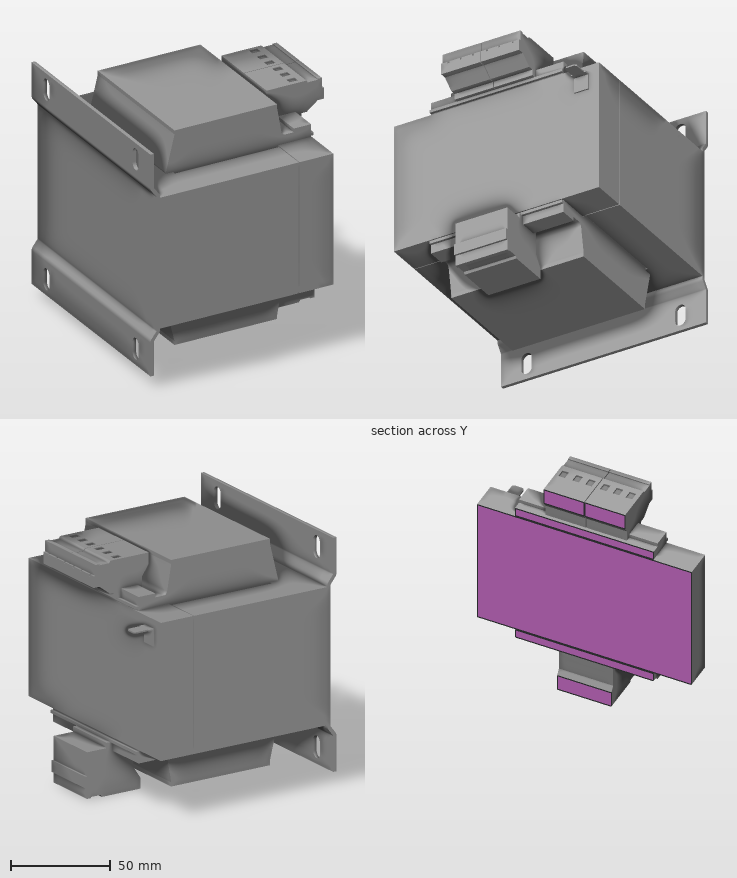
import cadquery as cq
import math

CORE_WIDTH = 120.0
CORE_LENGTH = 100.0
CORE_HEIGHT = 73.2
CORE_FRONT = 5.5
LEG_WIDTH = CORE_WIDTH / 6
CORE_BACK = CORE_FRONT + CORE_LENGTH
YOKE_JOINT = CORE_BACK - LEG_WIDTH
WINDOW_LENGTH = CORE_LENGTH - 2 * LEG_WIDTH
JOINT_GROOVE_WIDTH = 0.5
JOINT_GROOVE_DEPTH = 0.3

PLATE_THICKNESS = 2.0
PLATE_HALF_HEIGHT = 62.0
FLANGE_BEND_Z = 42.1
WEB_BEND_Z = 37.6
INNER_BEND_RADIUS = 1.0
OUTER_BEND_RADIUS = INNER_BEND_RADIUS + PLATE_THICKNESS
SLOT_X = 45.0
SLOT_Z = 53.0
SLOT_WIDTH = 6.0
SLOT_LENGTH = 12.0

COIL_WIDTH = 77.5
COIL_TOP = 60.0
COIL_TOP_FRONT = 26.0
COIL_TOP_BACK = 85.2
COIL_RIM = 2.2
COIL_FOOT_Z = 37.6
COIL_FOOT_FRONT = 21.0
COIL_NECK_BACK = 88.0
NECK_RADIUS = 2.2
COVER_GAP = 0.4
LEDGE_Z = 42.0
RAIL_TOP = 44.1
RAIL_FRONT = 94.8
RAIL_BACK = 104.8
LIP_BACK = 106.3
LIP_BOTTOM = 37.6
LIP_TOP = 39.2

POLE_WIDTH = 7.6
POLE_PITCH = 7.2
BLOCK_GAP = 0.4
TERMINAL_BACK = 121.25
TERMINAL_HEEL = 120.1
TERMINAL_FRONT = 88.2
HEEL_DROP = 6.4
HEEL_HEIGHT = 6.2
CAP_RIDGE_FRONT = 117.8
CAP_RIDGE_DROP = 0.6
CAP_DIP_FRONT = 112.0
CAP_DIP_DROP = 1.2
CAP_CREST_BACK = 111.2
CAP_FACE_HEIGHT = 6.0
CAP_UNDERCUT_DROP = 12.0
TERMINAL_STEM_FRONT = 92.2
TERMINAL_FOOT_BACK = 108.4
THROAT_Z = 42.5
THROAT_BACK = 111.4
THROAT_SLOPE_END = 117.7
UPPER_TERMINAL_TOP = 60.0
LOWER_TERMINAL_DEPTH = 67.3
ENTRY_WIDTH = 3.6
ENTRY_LENGTH = 4.7
ENTRY_Y = 105.3
ENTRY_DEPTH = 1.0
HEEL_SLOT_WIDTH = 1.0
HEEL_SLOT_DEPTH = 1.0

TAB_X = -50.0
TAB_THICKNESS = 0.8
TAB_WIDTH = 6.7
TAB_END = 117.0
TAB_SHOULDER_WIDTH = 8.4
TAB_SHOULDER_END = 109.0
TAB_TOP = 31.8
TAB_FOOT_BOTTOM = 22.6
TAB_CHAMFER = 1.0


def extrude_along_x(points, x_start, x_end):
    """Prism from a closed (Y, Z) outline, spanning x_start to x_end."""
    return cq.Workplane("YZ").workplane(offset=x_start).polyline(points).close().extrude(x_end - x_start)


def box_between(x_range, y_range, z_range):
    """Axis-aligned box given by its limits."""
    size = [limits[1] - limits[0] for limits in (x_range, y_range, z_range)]
    corner = (x_range[0], y_range[0], z_range[0])
    return cq.Workplane("XY").box(*size, centered=False).translate(corner)


def make_core():
    """E and I laminations with two windows and a groove round the joint."""
    half_width = CORE_WIDTH / 2
    half_height = CORE_HEIGHT / 2
    z_range = (-half_height, half_height)
    core = box_between((-half_width, half_width), (CORE_FRONT, CORE_BACK), z_range)
    window_y = (YOKE_JOINT - WINDOW_LENGTH, YOKE_JOINT)
    core = core.cut(box_between((-2 * LEG_WIDTH, -LEG_WIDTH), window_y, z_range))
    core = core.cut(box_between((LEG_WIDTH, 2 * LEG_WIDTH), window_y, z_range))
    groove_y = YOKE_JOINT + JOINT_GROOVE_WIDTH / 2
    ring = cq.Workplane("XY").box(CORE_WIDTH, JOINT_GROOVE_WIDTH, CORE_HEIGHT)
    inside = cq.Workplane("XY").box(
        CORE_WIDTH - 2 * JOINT_GROOVE_DEPTH, JOINT_GROOVE_WIDTH, CORE_HEIGHT - 2 * JOINT_GROOVE_DEPTH
    )
    return core.cut(ring.cut(inside).translate((0, groove_y, 0)))


def make_plate():
    """Sheet whose web lies on the core and whose flanges step forward to the mounting plane."""
    web_front = CORE_FRONT - PLATE_THICKNESS
    bend_angle = math.atan2(web_front, FLANGE_BEND_Z - WEB_BEND_Z)
    bend_shift = PLATE_THICKNESS * math.tan(bend_angle / 2)
    web_outer = (CORE_FRONT, WEB_BEND_Z + bend_shift)
    web_inner = (web_front, WEB_BEND_Z)
    flange_inner = (PLATE_THICKNESS, FLANGE_BEND_Z + bend_shift)
    flange_outer = (0, FLANGE_BEND_Z)
    flange_end = [(PLATE_THICKNESS, PLATE_HALF_HEIGHT), (0, PLATE_HALF_HEIGHT)]
    upper = [web_outer, flange_inner] + flange_end + [flange_outer, web_inner]
    lower = [(y, -z) for y, z in reversed(upper)]
    half_width = CORE_WIDTH / 2
    plate = extrude_along_x(upper + lower, -half_width, half_width)
    bends = [
        (web_outer, OUTER_BEND_RADIUS),
        (web_inner, INNER_BEND_RADIUS),
        (flange_outer, OUTER_BEND_RADIUS),
        (flange_inner, INNER_BEND_RADIUS),
    ]
    for (y, z), radius in bends:
        for side in (1, -1):
            corner = cq.selectors.NearestToPointSelector((0, y, side * z))
            plate = plate.edges("|X").edges(corner).fillet(radius)
    slots = (
        cq.Workplane("XZ")
        .pushPoints([(x, z) for x in (-SLOT_X, SLOT_X) for z in (-SLOT_Z, SLOT_Z)])
        .slot2D(SLOT_LENGTH, SLOT_WIDTH, 90)
        .extrude(-PLATE_THICKNESS)
    )
    return plate.cut(slots)


def make_coil():
    """Coil through the windows, with equal covers and terminal rails above and below the core."""
    half_width = COIL_WIDTH / 2
    cover_outline = [
        (COIL_FOOT_FRONT, 0),
        (COIL_FOOT_FRONT, COIL_FOOT_Z),
        (COIL_TOP_FRONT, COIL_TOP - COIL_RIM),
        (COIL_TOP_FRONT, COIL_TOP),
        (COIL_TOP_BACK, COIL_TOP),
        (COIL_TOP_BACK, COIL_TOP - COIL_RIM),
        (COIL_NECK_BACK, LEDGE_Z),
        (RAIL_FRONT, LEDGE_Z),
        (RAIL_FRONT, RAIL_TOP),
        (RAIL_BACK, RAIL_TOP),
        (RAIL_BACK, LIP_TOP),
        (LIP_BACK, LIP_TOP),
        (LIP_BACK, LIP_BOTTOM),
        (RAIL_BACK, LIP_BOTTOM),
        (RAIL_BACK, 0),
    ]
    cover = extrude_along_x(cover_outline, -half_width, half_width)
    neck = cq.selectors.NearestToPointSelector((0, COIL_NECK_BACK, LEDGE_Z))
    cover = cover.edges("|X").edges(neck).fillet(NECK_RADIUS)
    half_core = CORE_HEIGHT / 2
    cover = cover.cut(box_between((-half_width, half_width), (0, CORE_BACK), (0, half_core + COVER_GAP)))
    winding_z = half_core + COVER_GAP
    winding = box_between(
        (-half_width, half_width), (YOKE_JOINT - WINDOW_LENGTH, YOKE_JOINT), (-winding_z, winding_z)
    )
    return winding.union(cover).union(cover.mirror("XY"))


def terminal_cap(top):
    """Outer part of a terminal outline, from the heel over the cap to the stem."""
    heel_top = top - HEEL_DROP
    return [
        (TERMINAL_BACK, heel_top - HEEL_HEIGHT),
        (TERMINAL_BACK, heel_top),
        (TERMINAL_HEEL, heel_top),
        (TERMINAL_HEEL, top - CAP_RIDGE_DROP),
        (CAP_RIDGE_FRONT, top - CAP_RIDGE_DROP),
        (CAP_RIDGE_FRONT, top - CAP_DIP_DROP),
        (CAP_DIP_FRONT, top - CAP_DIP_DROP),
        (CAP_CREST_BACK, top),
        (TERMINAL_FRONT, top),
        (TERMINAL_FRONT, top - CAP_FACE_HEIGHT),
        (TERMINAL_STEM_FRONT, top - CAP_UNDERCUT_DROP),
        (TERMINAL_STEM_FRONT, LEDGE_Z),
    ]


def make_upper_terminals():
    """Six poles on the upper rail: three, a narrow gap, then three more."""
    half_width = 3 * POLE_WIDTH
    foot = [
        (RAIL_BACK, LEDGE_Z),
        (RAIL_BACK, LIP_TOP),
        (TERMINAL_FOOT_BACK, LIP_TOP),
        (TERMINAL_FOOT_BACK, THROAT_Z),
        (THROAT_BACK, THROAT_Z),
        (THROAT_SLOPE_END, UPPER_TERMINAL_TOP - HEEL_DROP - HEEL_HEIGHT),
    ]
    blocks = extrude_along_x(foot + terminal_cap(UPPER_TERMINAL_TOP), -half_width, half_width)
    pole_centres = [
        -2.5 * POLE_WIDTH,
        -POLE_WIDTH - POLE_PITCH / 2,
        -POLE_WIDTH + POLE_PITCH / 2,
        1.5 * POLE_WIDTH - POLE_PITCH,
        1.5 * POLE_WIDTH,
        1.5 * POLE_WIDTH + POLE_PITCH,
    ]
    entries = (
        cq.Workplane("XY", origin=(0, 0, UPPER_TERMINAL_TOP))
        .pushPoints([(x, ENTRY_Y) for x in pole_centres])
        .rect(ENTRY_WIDTH, ENTRY_LENGTH)
        .extrude(-ENTRY_DEPTH)
    )
    blocks = blocks.cut(entries)
    heel_top = UPPER_TERMINAL_TOP - HEEL_DROP
    for x in pole_centres:
        slot_x = (x - HEEL_SLOT_WIDTH / 2, x + HEEL_SLOT_WIDTH / 2)
        slot_z = (heel_top - HEEL_SLOT_DEPTH, heel_top)
        blocks = blocks.cut(box_between(slot_x, (TERMINAL_HEEL, TERMINAL_BACK), slot_z))
    gap_x = (-BLOCK_GAP / 2, BLOCK_GAP / 2)
    gap_y = (TERMINAL_FRONT, TERMINAL_BACK)
    return blocks.cut(box_between(gap_x, gap_y, (LIP_TOP, UPPER_TERMINAL_TOP)))


def make_lower_terminals():
    """Taller blocks hanging from the lower rail."""
    half_width = 2 * POLE_WIDTH
    foot = [
        (RAIL_BACK, LEDGE_Z),
        (RAIL_BACK, LIP_TOP),
        (TERMINAL_FOOT_BACK, LIP_TOP),
        (TERMINAL_FOOT_BACK, LEDGE_Z),
        (TERMINAL_HEEL, LEDGE_Z),
        (TERMINAL_HEEL, LOWER_TERMINAL_DEPTH - HEEL_DROP - HEEL_HEIGHT),
    ]
    outline = foot + terminal_cap(LOWER_TERMINAL_DEPTH)
    return extrude_along_x(outline, -half_width, half_width).mirror("XY")


def make_earth_tab():
    """Angled push-on tab on the back of the core."""
    tab_z = (TAB_TOP - TAB_THICKNESS, TAB_TOP)
    half_shoulder = TAB_SHOULDER_WIDTH / 2
    shoulder_x = (TAB_X - half_shoulder, TAB_X + half_shoulder)
    blade = box_between((TAB_X - TAB_WIDTH / 2, TAB_X + TAB_WIDTH / 2), (CORE_BACK, TAB_END), tab_z)
    blade = blade.edges("|Z and >Y").chamfer(TAB_CHAMFER)
    shoulder = box_between(shoulder_x, (CORE_BACK, TAB_SHOULDER_END), tab_z)
    foot = box_between(shoulder_x, (CORE_BACK, CORE_BACK + TAB_THICKNESS), (TAB_FOOT_BOTTOM, TAB_TOP))
    return blade.union(shoulder).union(foot)


result = (
    make_core()
    .union(make_plate())
    .union(make_coil())
    .union(make_upper_terminals())
    .union(make_lower_terminals())
    .union(make_earth_tab())
)